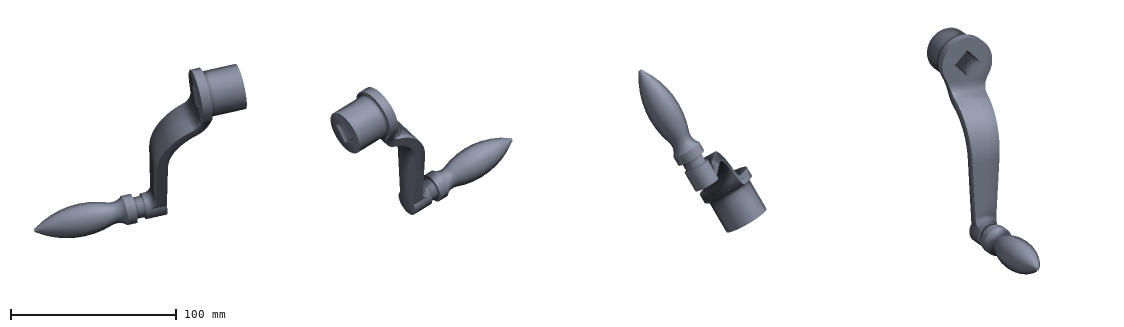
import cadquery as cq
import math


disc_radius = 16.5
disc_thickness = 5.9
hub_radius = 14.0
hub_back = 28.0
hub_fillet = 1.2
square_side = 12.0

throw = 99.8
arm_back = 20.0
arm_front = 26.8
bend_start_drop = 11.2
bend_end_drop = 53.4
front_bend_radius = 9.3
back_bend_radius = 15.7
arm_half_width_top = 12.0
arm_half_width_bottom = 6.3
side_blend_radius = 23.2

boss_radius = 8.0
boss_end = 33.2
boss_fillet = 3.9
neck_radius = 6.6
collar_radius = 9.0
collar_start = 39.0
collar_end = 44.9
waist_forward = 51.1
belly_start = 53.8
belly_start_radius = 7.0
belly_peak = 72.2
belly_radius = 10.0
belly_end = 99.8
tip_radius = 1.7
tip_flat_radius = 1.2
handle_end = 129 - hub_back


def bend_points(start_forward, end_forward, first_radius):
    """Points after the start of an S-bend made of two tangent arcs with vertical ends."""
    rise = end_forward - start_forward
    drop = bend_end_drop - bend_start_drop
    radius_sum = (rise**2 + drop**2) / (2 * rise)
    second_radius = radius_sum - first_radius
    sweep = math.asin(drop / radius_sum)

    def on_first(angle):
        forward = start_forward + first_radius * (1 - math.cos(angle))
        return (-forward, -bend_start_drop - first_radius * math.sin(angle))

    def on_second(angle):
        forward = end_forward - second_radius * (1 - math.cos(angle))
        return (-forward, -bend_end_drop + second_radius * math.sin(angle))

    return [on_first(sweep / 2), on_first(sweep), on_second(sweep / 2), on_second(0)]


def make_arm_side():
    """Bent strip of the arm and disc, as a YZ profile as wide as the disc."""
    front = bend_points(0, arm_front, front_bend_radius)
    back = bend_points(-disc_thickness, arm_back, back_bend_radius)
    profile = (
        cq.Workplane("YZ")
        .moveTo(0, disc_radius)
        .lineTo(0, -bend_start_drop)
        .threePointArc(front[0], front[1])
        .threePointArc(front[2], front[3])
        .lineTo(-arm_front, -throw)
        .lineTo(-arm_back, -throw)
        .lineTo(*back[3])
        .threePointArc(back[2], back[1])
        .threePointArc(back[0], (disc_thickness, -bend_start_drop))
        .lineTo(disc_thickness, disc_radius)
        .close()
    )
    return profile.extrude(disc_radius, both=True)


def make_arm_outline():
    """Disc running through concave blends into the tapered arm, as a long XZ prism."""
    taper = math.atan2(arm_half_width_top - arm_half_width_bottom, throw)
    across = arm_half_width_top * math.cos(taper) + side_blend_radius
    center_distance = disc_radius + side_blend_radius
    along = math.sqrt(center_distance**2 - across**2)
    center_x = across * math.cos(taper) - along * math.sin(taper)
    center_z = -across * math.sin(taper) - along * math.cos(taper)

    def on_blend(angle):
        return (
            center_x - side_blend_radius * math.cos(angle),
            center_z + side_blend_radius * math.sin(angle),
        )

    disc_angle = math.atan2(-center_z, center_x)
    blend_top = on_blend(disc_angle)
    blend_middle = on_blend((disc_angle + taper) / 2)
    blend_bottom = on_blend(taper)

    def mirrored(point):
        return (-point[0], point[1])

    outline = (
        cq.Workplane("XZ", origin=(0, disc_thickness, 0))
        .moveTo(*mirrored(blend_top))
        .threePointArc((0, disc_radius), blend_top)
        .threePointArc(blend_middle, blend_bottom)
        .lineTo(arm_half_width_bottom, -throw)
        .lineTo(-arm_half_width_bottom, -throw)
        .lineTo(*mirrored(blend_bottom))
        .threePointArc(mirrored(blend_middle), mirrored(blend_top))
        .close()
    )
    return outline.extrude(disc_thickness + boss_end)


def arc_middle(center, radius, start, end):
    """Point halfway round the short arc between two points of a circle."""
    x = (start[0] + end[0]) / 2 - center[0]
    y = (start[1] + end[1]) / 2 - center[1]
    scale = radius / math.hypot(x, y)
    return (center[0] + x * scale, center[1] + y * scale)


def make_hub():
    """Round hub with a concave fillet where it meets the back of the disc."""
    fillet_top = (hub_radius, disc_thickness + hub_fillet)
    fillet_foot = (hub_radius + hub_fillet, disc_thickness)
    fillet_center = (fillet_foot[0], fillet_top[1])
    return (
        cq.Workplane("XY")
        .moveTo(0, disc_thickness)
        .lineTo(*fillet_foot)
        .threePointArc(arc_middle(fillet_center, hub_fillet, fillet_foot, fillet_top), fillet_top)
        .lineTo(hub_radius, hub_back)
        .lineTo(0, hub_back)
        .close()
        .revolve(360, (0, 0), (0, 1))
    )


def make_boss_fillet():
    """Concave flare around the boss at the front of the arm, before trimming to the arm width."""
    foot = (boss_radius + boss_fillet, -arm_front)
    top = (boss_radius, -arm_front - boss_fillet)
    return (
        cq.Workplane("XY", origin=(0, 0, -throw))
        .moveTo(0, -arm_front)
        .lineTo(*foot)
        .threePointArc(arc_middle((foot[0], top[1]), boss_fillet, foot, top), top)
        .lineTo(0, top[1])
        .close()
        .revolve(360, (0, 0), (0, 1))
    )


def make_handle():
    """Boss, neck, collar and bellied grip turned about the handle axis."""
    return (
        cq.Workplane("XY", origin=(0, 0, -throw))
        .moveTo(0, -arm_back)
        .lineTo(boss_radius, -arm_back)
        .lineTo(boss_radius, -boss_end)
        .lineTo(neck_radius, -boss_end)
        .lineTo(neck_radius, -collar_start)
        .lineTo(collar_radius, -collar_start)
        .lineTo(collar_radius, -collar_end)
        .threePointArc((neck_radius, -waist_forward), (belly_start_radius, -belly_start))
        .threePointArc((belly_radius, -belly_peak), (tip_radius, -belly_end))
        .lineTo(tip_flat_radius, -handle_end)
        .lineTo(0, -handle_end)
        .close()
        .revolve(360, (0, 0), (0, 1))
    )


arm_outline = make_arm_outline()
arm = make_arm_side().intersect(arm_outline)
boss_flare = make_boss_fillet().intersect(arm_outline)

drive_hole = (
    cq.Workplane("XZ", origin=(0, hub_back, 0))
    .rect(square_side, square_side)
    .extrude(hub_back)
    .rotate((0, 0, 0), (0, 1, 0), 45)
)

result = arm.union(make_hub()).union(boss_flare).union(make_handle()).cut(drive_hole)